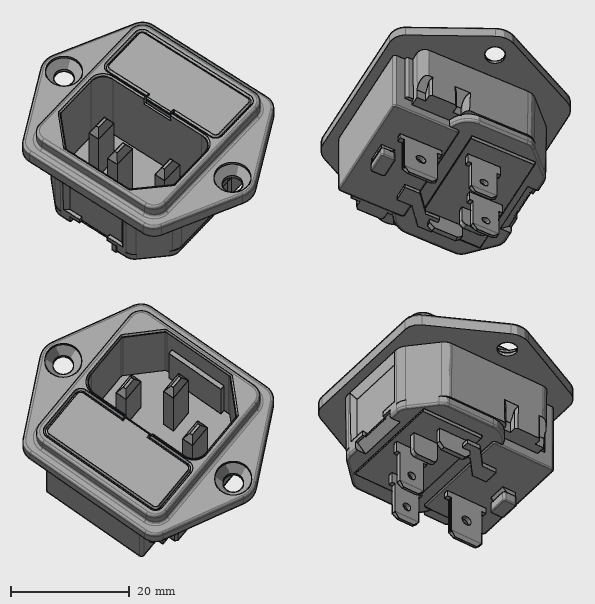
import cadquery as cq
import math


overrun = 0.45

flange_thickness = 2.5
flange_depth = 34.0
screw_x = 18.0
ear_radius = 4.0
ear_slope = math.radians(26.5)
flange_corner_radius = 3.0
flange_edge_radius = 0.5
screw_hole_diameter = 3.48
countersink_diameter = 6.25
countersink_step = 0.5

rim_top = 5.0
rim_width = 27.0
rim_depth = 30.1
rim_corner_radius = 2.55
rim_edge_radius = 0.55

drawer_half_width = 12.05
drawer_back = 13.5
drawer_front = 3.3
drawer_corner_radius = 1.1
groove_size = 0.35
groove_angle = 45
tab_half_width = 2.55
tab_front = 2.75
tab_gap = 0.25
tab_edge = 0.25
tab_lip_height = 0.7
tab_recess = 0.15
tab_notch_depth = 1.75

socket_half_width = 12.1
socket_back = 2.45
socket_front = -13.85
socket_chamfer = 5.35
socket_back_radius = 2.65
socket_front_radius = 0.55
socket_edge = 0.3
socket_edge_angle = 45
socket_floor = -11.0
key_half_width = 5.5
key_depth = 0.85
key_top = -0.9

pin_width = 2.05
pin_depth = 4.2
pin_bevel_height = 1.65
pin_tip_width = 0.55
pin_tip_depth = 2.25
line_pin_x = 7.05
line_pin_y = -3.8
line_pin_top = 1.2
earth_pin_y = -7.75
earth_pin_top = 4.2

body_half_width = 13.75
body_front = -15.22
body_back = 11.9
body_chamfer = 5.75
body_front_radius = 2.4
body_back_radius = 1.55
body_bottom = -13.6
body_edge_radius = 0.45
body_draft = 0.7

holder_half_width = 10.25
holder_back = 15.22
holder_front = 2.65
holder_bottom = -13.9
holder_corner_radius = 0.55
holder_edge_radius = 0.25
shoulder_half_width = 10.8
shoulder_back = 13.1
shoulder_bottom = -10.95

cover_top = -11.92
cover_half_width = 13.38
cover_back = 4.85
cover_corner_radius = 4.4
slot_depth = 1.75
slot_top = -6.8
slot_inner_top = -9.8
slot_lead = 0.55
front_slot_back = 4.85
front_slot_front = 1.95
front_slot_radius = 1.4
rear_slot_front = 10.08

window_half_width = 6.5
window_inner_half_width = 5.55
window_slope = 1.75
window_bottom = -10.95
window_depth = 0.85
latch_half_width = 2.95
latch_ledge = 0.25
bevel_half_width = 5.0

pad_half_width = 10.25
pad_back = 0.35
pad_front = -11.75
pad_thickness = 0.4
pad_edge = 0.35
peg_width = 4.15
peg_back = 13.3
peg_neck_front = 11.65
peg_neck_setback = 0.15
peg_neck_width = 3.5
peg_head_front = 10.55
peg_head_top = -15.1
peg_bottom = -16.95
peg_radius = 0.45

blade_thickness = 0.85
blade_bottom = -23.25
blade_tip = 0.92
root_overlap = 0.9
pin_blade_width = 4.95
pin_shoulder_width = 6.25
pin_shoulder_bottom = -16.15
pin_blade_hole = 1.5
pin_blade_hole_z = -20.1
line_blade_x = -6.4
earth_blade_x = 0.6
neutral_blade_x = 7.55
neutral_bottom = -17.78
fuse_blade_x = -4.85
fuse_blade_y = 7.45
fuse_blade_width = 6.3
fuse_shoulder_width = 7.95
fuse_shoulder_bottom = -15.1
fuse_blade_hole = 1.8
fuse_blade_hole_z = -18.65
seam_width = 0.2
seam_depth = 0.2
clip_x = 4.1
clip_y = -7.4
clip_thickness = 0.92
clip_width = 4.85
clip_bottom = -18.45

link_top = -15.15
link_thickness = 0.85
link_width = 2.95
link_front = -2.2
link_first_bend = 0.45
link_second_bend = 3.3
link_back = 6.15
link_front_x = 6.45
link_back_x = 3.1


def block(x0, x1, y0, y1, z0, z1):
    """Axis-aligned box between two opposite corners."""
    return cq.Workplane("XY").box(x1 - x0, y1 - y0, z1 - z0, centered=False).translate((x0, y0, z0))


def both_sides(shape):
    """Shape together with its mirror image across the YZ plane."""
    return shape.union(shape.mirror("YZ"))


def make_flange():
    half_depth = flange_depth / 2
    ear_tip = screw_x + ear_radius / math.cos(ear_slope)
    corner_x = ear_tip - half_depth * math.tan(ear_slope)
    outline = [
        (ear_tip, 0), (corner_x, half_depth), (-corner_x, half_depth),
        (-ear_tip, 0), (-corner_x, -half_depth), (corner_x, -half_depth),
    ]
    flange = cq.Workplane("XY").polyline(outline).close().extrude(flange_thickness)
    ear_edge = cq.selectors.BoxSelector(
        (-ear_tip - overrun, -overrun, -overrun), (ear_tip + overrun, overrun, flange_thickness + overrun)
    )
    flange = flange.edges("|Z").edges(ear_edge).fillet(ear_radius)
    for side in (">Y", "<Y"):
        flange = flange.faces(side).edges("|Z").fillet(flange_corner_radius)
    return flange.faces(">Z").edges().fillet(flange_edge_radius)


def add_rim(flange):
    rim = (
        cq.Workplane("XY").rect(rim_width, rim_depth).extrude(rim_top)
        .edges("|Z").fillet(rim_corner_radius)
        .faces(">Z").edges().fillet(rim_edge_radius)
    )
    foot = cq.selectors.BoxSelector(
        (-rim_width / 2 - overrun, -rim_depth / 2 - overrun, flange_thickness - overrun),
        (rim_width / 2 + overrun, rim_depth / 2 + overrun, flange_thickness + overrun),
    )
    return flange.union(rim).edges(foot).fillet(rim_edge_radius)


def make_screw_holes():
    cone_height = (countersink_diameter - screw_hole_diameter) / 2
    step_floor = flange_thickness - countersink_step
    profile = [
        (0, 0), (screw_hole_diameter / 2, 0), (screw_hole_diameter / 2, step_floor - cone_height),
        (countersink_diameter / 2, step_floor), (countersink_diameter / 2, flange_thickness),
        (0, flange_thickness),
    ]
    hole = cq.Workplane("XZ").polyline(profile).close().revolve(360, (0, 0), (0, 1))
    return both_sides(hole.translate((screw_x, 0, 0)))


def octagonal_front(half_width, back, front, chamfer, bottom, top, back_radius, front_radius, draft=0):
    """Upright prism with rounded back corners and bevelled, rounded front corners."""
    outline = cq.Sketch().polygon([
        (half_width, back), (-half_width, back), (-half_width, front + chamfer),
        (-half_width + chamfer, front), (half_width - chamfer, front),
        (half_width, front + chamfer), (half_width, back),
    ])
    outline = outline.vertices(">Y").fillet(back_radius).reset()
    outline = outline.vertices(cq.selectors.BoxSelector(
        (-half_width - overrun, front - overrun, -overrun),
        (half_width + overrun, front + chamfer + overrun, overrun),
    )).fillet(front_radius).reset()
    return cq.Workplane("XY").workplane(offset=top).placeSketch(outline).extrude(bottom - top, taper=draft)


def make_body():
    return octagonal_front(
        body_half_width, body_back, body_front, body_chamfer, cover_top, 0,
        body_back_radius, body_front_radius, body_draft,
    )


def make_cover():
    """Bottom cover: stepped in at the sides, flush with the drafted front and bevelled corners."""
    draft_inset = -cover_top * math.tan(math.radians(body_draft))
    side_step = body_half_width - draft_inset - cover_half_width
    chamfer = body_chamfer - side_step - (2 - math.sqrt(2)) * draft_inset
    cover = octagonal_front(
        cover_half_width, cover_back, body_front + draft_inset, chamfer, body_bottom, cover_top,
        cover_corner_radius, body_front_radius, body_draft,
    )
    return cover.faces("<Z").edges().fillet(body_edge_radius)


def make_fuse_holder():
    holder = (
        block(-holder_half_width, holder_half_width, holder_front, holder_back, holder_bottom, 0)
        .edges("|Z").fillet(holder_corner_radius)
        .faces("<Z").edges().fillet(holder_edge_radius)
    )
    shoulder = block(
        -shoulder_half_width, shoulder_half_width, 0, shoulder_back, shoulder_bottom, 0
    ).edges("|Z").fillet(holder_corner_radius)
    return holder.union(shoulder)


def make_slot(plan):
    """Slot in the left wall, its roof sloping down towards the inside."""
    inner = slot_depth - body_half_width
    outer = -body_half_width - overrun
    roof_slope = (slot_top - slot_inner_top) / slot_depth
    side = [
        (inner, cover_top), (outer, cover_top),
        (outer, slot_top + roof_slope * overrun), (inner, slot_inner_top),
    ]
    wedge = cq.Workplane("XZ").polyline(side).close().extrude(holder_back, both=True)
    return plan.extrude(overrun - body_bottom).translate((0, 0, body_bottom - overrun)).intersect(wedge)


def make_side_slots():
    wall = -body_half_width
    inner = wall + slot_depth
    arc_offset = front_slot_radius * (1 - math.sqrt(0.5))
    front_plan = (
        cq.Workplane("XY").moveTo(wall - overrun, front_slot_front).lineTo(wall, front_slot_front)
        .threePointArc(
            (wall + arc_offset, front_slot_front + front_slot_radius - arc_offset),
            (wall + front_slot_radius, front_slot_front + front_slot_radius),
        )
        .lineTo(inner, front_slot_front + front_slot_radius).lineTo(inner, front_slot_back)
        .lineTo(wall + slot_lead, front_slot_back).lineTo(wall, front_slot_back + slot_lead)
        .lineTo(wall - overrun, front_slot_back + slot_lead).close()
    )
    rear_plan = cq.Workplane("XY").polyline([
        (wall - overrun, rear_slot_front - slot_lead), (wall, rear_slot_front - slot_lead),
        (wall + slot_lead, rear_slot_front), (inner, rear_slot_front),
        (inner, body_back + overrun), (wall - overrun, body_back + overrun),
    ]).close()
    return both_sides(make_slot(front_plan).union(make_slot(rear_plan)))


def make_front_window():
    face = body_front + window_depth
    outer = [
        (-window_half_width, 0), (window_half_width, 0),
        (window_half_width, window_bottom), (-window_half_width, window_bottom),
    ]
    inner = [
        (-window_inner_half_width, -window_slope), (window_inner_half_width, -window_slope),
        (window_inner_half_width, window_bottom), (-window_inner_half_width, window_bottom),
    ]
    window = (
        cq.Workplane("XZ", origin=(0, body_front, 0)).polyline(outer).close()
        .workplane(offset=-window_depth).polyline(inner).close().loft(ruled=True)
    )
    latch_notch = block(
        -latch_half_width, latch_half_width, body_front - overrun, face, cover_top, window_bottom
    )
    undercut = cover_top - body_bottom
    bevel = (
        cq.Workplane("YZ")
        .polyline([
            (body_front - overrun, cover_top), (face - latch_ledge, cover_top),
            (face - latch_ledge + undercut, body_bottom), (body_front - overrun, body_bottom),
        ])
        .close().extrude(bevel_half_width, both=True)
    )
    return window.union(latch_notch).union(bevel)


def make_socket():
    socket = octagonal_front(
        socket_half_width, socket_back, socket_front, socket_chamfer, socket_floor, rim_top,
        socket_back_radius, socket_front_radius,
    )
    mouth = octagonal_front(
        socket_half_width + socket_edge, socket_back + socket_edge, socket_front - socket_edge,
        socket_chamfer, rim_top - socket_edge, rim_top,
        socket_back_radius, socket_front_radius, socket_edge_angle,
    )
    key = block(
        -key_half_width, key_half_width, socket_front, socket_front + key_depth, socket_floor, key_top
    )
    return socket.union(mouth).cut(key)


def make_drawer_groove():
    width = 2 * drawer_half_width
    depth = drawer_back - drawer_front
    middle = (drawer_back + drawer_front) / 2

    def tapered_plug(grow, z, height):
        outline = cq.Sketch().rect(width + 2 * grow, depth + 2 * grow)
        outline = outline.vertices().fillet(drawer_corner_radius + grow)
        plane = cq.Workplane("XY", origin=(0, middle, z))
        return plane.placeSketch(outline).extrude(height, taper=groove_angle)

    opening = tapered_plug(groove_size, rim_top, -groove_size)
    drawer_top = tapered_plug(0, rim_top - groove_size, groove_size)
    return opening.cut(drawer_top)


def make_tab_notch():
    notch_half_width = tab_half_width + tab_gap
    return block(
        -notch_half_width, notch_half_width, socket_back, drawer_front + groove_size,
        rim_top - tab_notch_depth, rim_top,
    )


def make_tab():
    """Finger tab of the drawer: a bevelled lip above a slightly recessed face."""
    tab_back = drawer_front + groove_size
    lip_bottom = rim_top - tab_lip_height
    lip = block(-tab_half_width, tab_half_width, tab_front, tab_back, lip_bottom, rim_top)
    lip = lip.faces(">Z").edges("<Y").chamfer(tab_edge)
    face = block(
        -tab_half_width, tab_half_width, tab_front + tab_recess, tab_back,
        rim_top - tab_notch_depth, lip_bottom,
    )
    return lip.union(face)


def make_pin(x, y, top):
    shank_height = top - pin_bevel_height - socket_floor
    shank = cq.Workplane("XY").rect(pin_width, pin_depth).extrude(shank_height)
    tip = (
        cq.Workplane("XY").workplane(offset=shank_height).rect(pin_width, pin_depth)
        .workplane(offset=pin_bevel_height).rect(pin_tip_width, pin_tip_depth).loft()
    )
    return shank.union(tip).translate((x, y, socket_floor))


def make_blade(x, y, width, shoulder_width, shoulder_bottom, hole_diameter, hole_z):
    """Flat terminal in a plane of constant X, with shoulders, a hole and a bevelled tip."""
    root = body_bottom + root_overlap
    tip_start = blade_bottom + blade_tip
    half = width / 2
    half_shoulder = shoulder_width / 2
    outline = [
        (y - half_shoulder, root), (y - half_shoulder, shoulder_bottom), (y - half, shoulder_bottom),
        (y - half, tip_start), (y - half + blade_tip, blade_bottom),
        (y + half - blade_tip, blade_bottom), (y + half, tip_start),
        (y + half, shoulder_bottom), (y + half_shoulder, shoulder_bottom), (y + half_shoulder, root),
    ]
    blade = cq.Workplane("YZ").polyline(outline).close().extrude(blade_thickness / 2, both=True)
    hole = (
        cq.Workplane("YZ").center(y, hole_z).circle(hole_diameter / 2)
        .extrude(blade_thickness, both=True)
    )
    bevel = blade_thickness / 4
    tip_corner = (
        cq.Workplane("XZ")
        .polyline([
            (blade_thickness / 2, tip_start), (blade_thickness / 2, blade_bottom),
            (blade_thickness / 2 - bevel, blade_bottom),
        ])
        .close().extrude(width, both=True).translate((0, y, 0))
    )
    return blade.cut(hole).cut(both_sides(tip_corner)).translate((x, 0, 0))


def make_fold_seam():
    """Seam down both narrow edges of the fuse blade, which is folded from double sheet."""
    half = fuse_blade_width / 2
    seam = block(
        fuse_blade_x - seam_width / 2, fuse_blade_x + seam_width / 2,
        fuse_blade_y - half, fuse_blade_y + half, blade_bottom + blade_tip, fuse_shoulder_bottom,
    )
    core = block(
        fuse_blade_x - seam_width, fuse_blade_x + seam_width,
        fuse_blade_y - half + seam_depth, fuse_blade_y + half - seam_depth,
        blade_bottom, fuse_shoulder_bottom + overrun,
    )
    return seam.cut(core)


def make_short_terminal(x, y, thickness, width, bottom):
    """Short flat strip in a plane of constant X."""
    return block(
        x - thickness / 2, x + thickness / 2, y - width / 2, y + width / 2,
        bottom, body_bottom + root_overlap,
    )


def make_link():
    """Flat cranked bar running from the neutral terminal back below the fuse holder."""
    outline = [
        (link_front_x, link_front), (link_front_x, link_first_bend),
        (link_back_x, link_second_bend), (link_back_x, link_back),
        (link_back_x + link_width, link_back), (link_back_x + link_width, link_second_bend),
        (link_front_x + link_width, link_first_bend), (link_front_x + link_width, link_front),
    ]
    return (
        cq.Workplane("XY").workplane(offset=link_top).polyline(outline).close().extrude(-link_thickness)
    )


def make_peg():
    """Latch peg with a rounded head under a neck that tapers downwards."""
    neck_back = peg_back - peg_neck_setback
    neck = (
        cq.Workplane("YZ")
        .polyline([
            (neck_back, holder_bottom + overrun), (peg_head_front, holder_bottom + overrun),
            (peg_head_front, holder_bottom), (peg_neck_front, peg_head_top),
            (peg_neck_front, peg_head_top - peg_radius), (neck_back, peg_head_top - peg_radius),
        ])
        .close().extrude(peg_neck_width / 2, both=True)
    )
    head = block(-peg_width / 2, peg_width / 2, peg_head_front, peg_back, peg_bottom, peg_head_top)
    head = head.edges("|Z").fillet(peg_radius).faces("<Z").edges().fillet(peg_radius / 2)
    return neck.union(head)


def make_pad():
    pad = block(
        -pad_half_width, pad_half_width, pad_front, pad_back,
        body_bottom - pad_thickness, body_bottom + root_overlap,
    )
    return pad.faces("<Z").edges("|Y").chamfer(pad_edge)


housing = add_rim(make_flange()).union(make_body().cut(make_side_slots()))
housing = housing.union(make_cover()).union(make_fuse_holder()).union(make_pad())
for opening in (
    make_screw_holes(), make_front_window(), make_socket(), make_drawer_groove(), make_tab_notch(),
):
    housing = housing.cut(opening)
housing = housing.union(make_tab())

line_blade = make_blade(
    line_blade_x, line_pin_y, pin_blade_width, pin_shoulder_width,
    pin_shoulder_bottom, pin_blade_hole, pin_blade_hole_z,
)
earth_blade = make_blade(
    earth_blade_x, earth_pin_y, pin_blade_width, pin_shoulder_width,
    pin_shoulder_bottom, pin_blade_hole, pin_blade_hole_z,
)
fuse_blade = make_blade(
    fuse_blade_x, fuse_blade_y, fuse_blade_width, fuse_shoulder_width,
    fuse_shoulder_bottom, fuse_blade_hole, fuse_blade_hole_z,
).cut(make_fold_seam())
neutral_terminal = make_short_terminal(
    neutral_blade_x, line_pin_y, blade_thickness, pin_shoulder_width, neutral_bottom
).faces("<Z").edges("|X").chamfer(blade_tip)
clip = make_short_terminal(
    clip_x, clip_y, clip_thickness, clip_width, clip_bottom
).faces("<Z").edges("|X").fillet(blade_tip)

result = housing
for piece in (
    make_pin(-line_pin_x, line_pin_y, line_pin_top),
    make_pin(line_pin_x, line_pin_y, line_pin_top),
    make_pin(0, earth_pin_y, earth_pin_top),
    line_blade, earth_blade, fuse_blade, neutral_terminal, clip, make_link(), make_peg(),
):
    result = result.union(piece)